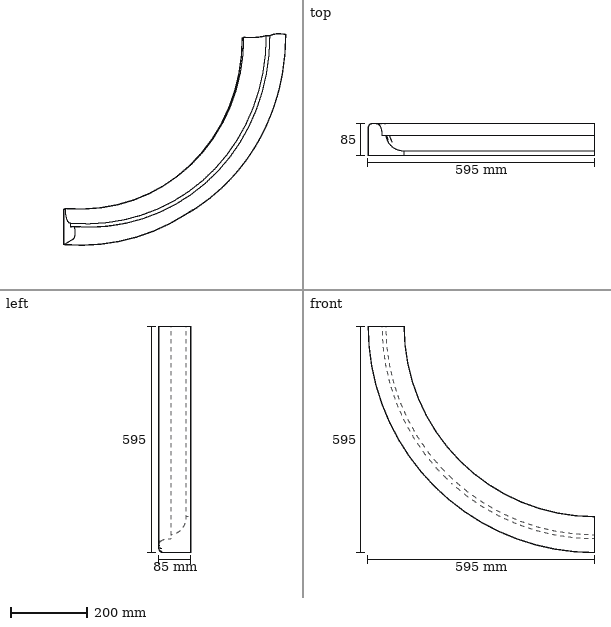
import math

import cadquery as cq

outer_radius = 595.0
width = 95.0
depth = 85.03
bend_angle = 90.0

lip_height = 12.5
step_height = 52.5
ledge_inner_offset = 46.8
cove_radius = 47.5
rim_height = 70.0
crown_peak_offset = 15.0
crown_width = 36.8


def cove_middle():
    """Deepest point of the cove arc, on the bisector of the chord from lip to ledge."""
    run = width - ledge_inner_offset
    rise = step_height - lip_height
    chord = math.hypot(run, rise)
    sagitta = cove_radius - math.sqrt(cove_radius**2 - (chord / 2) ** 2)
    middle_x = (width + ledge_inner_offset) / 2 - sagitta * rise / chord
    middle_y = (lip_height + step_height) / 2 - sagitta * run / chord
    return (middle_x, middle_y)


def section():
    """Closed moulding section, with local x pointing inward and local y along the depth."""
    crown_points = [(crown_peak_offset, depth), (0, rim_height)]
    crown_directions = [(0, 1), (-1, 0), (0, -1)]

    return (
        cq.Workplane("XY")
        .lineTo(width, 0)
        .lineTo(width, lip_height)
        .threePointArc(cove_middle(), (ledge_inner_offset, step_height))
        .lineTo(crown_width, step_height)
        .spline(crown_points, tangents=crown_directions, includeCurrent=True)
        .close()
    )


def quarter_ring():
    """Bend the section from the -X end round to the -Z end."""
    axis_start = (outer_radius, 0)
    axis_end = (outer_radius, -1)
    ring = section().revolve(bend_angle, axis_start, axis_end)
    return ring.translate((-outer_radius, 0, 0))


result = quarter_ring()